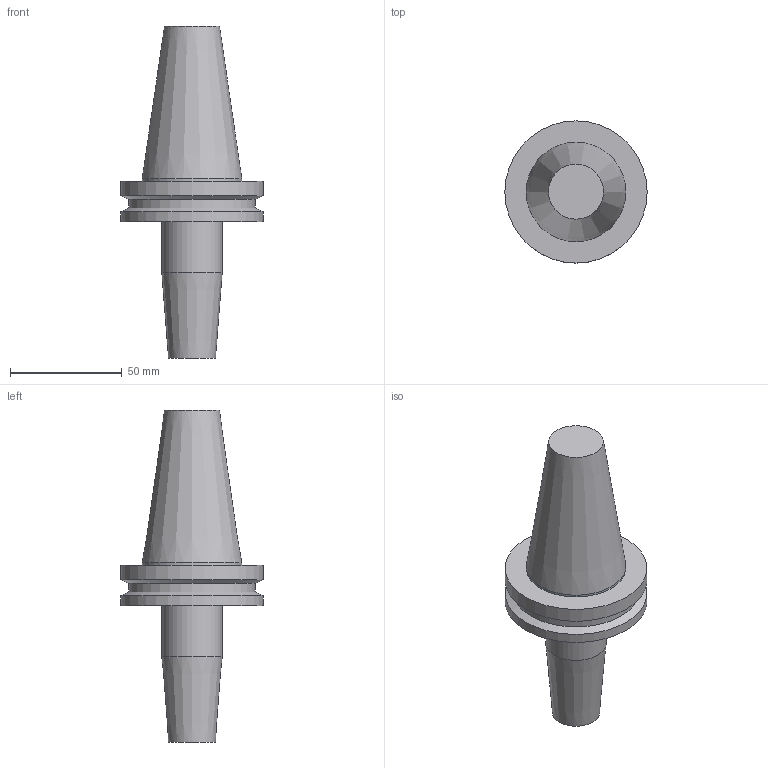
import cadquery as cq
import math


gauge_diameter = 44.45
taper_length = 68.25
taper_ratio = 7 / 24
small_end_diameter = gauge_diameter - taper_ratio * taper_length

flange_diameter = 63.5
flange_top_z = -1.0
flange_bottom_z = -19.1
groove_centre_z = -11.1
groove_mouth_width = 7.2
groove_floor_diameter = 56.6
groove_flank_angle = 25.0

nose_length = 80.0
nose_diameter = 27.0
nose_tip_diameter = 21.0
nose_taper_angle = 4.5


def revolved(points):
    """Solid of revolution about Z from (radius, z) points, closed along the axis."""
    profile = cq.Workplane("XZ").polyline(points).close()
    return profile.revolve(360, (0, 0, 0), (0, 1, 0))


def make_shank():
    """Steep taper with the short cylindrical neck that joins it to the flange."""
    return revolved([
        (0, flange_top_z),
        (gauge_diameter / 2, flange_top_z),
        (gauge_diameter / 2, 0),
        (small_end_diameter / 2, taper_length),
        (0, taper_length),
    ])


def make_flange():
    """Disc with a flat-bottomed V-groove around its rim."""
    rim_radius = flange_diameter / 2
    floor_radius = groove_floor_diameter / 2
    mouth_half = groove_mouth_width / 2
    flank_rise = (rim_radius - floor_radius) * math.tan(math.radians(groove_flank_angle))
    floor_half = mouth_half - flank_rise
    return revolved([
        (0, flange_bottom_z),
        (rim_radius, flange_bottom_z),
        (rim_radius, groove_centre_z - mouth_half),
        (floor_radius, groove_centre_z - floor_half),
        (floor_radius, groove_centre_z + floor_half),
        (rim_radius, groove_centre_z + mouth_half),
        (rim_radius, flange_top_z),
        (0, flange_top_z),
    ])


def make_nose():
    """Cylinder below the flange that ends in a slender cone."""
    cone_inset = (nose_diameter - nose_tip_diameter) / 2
    cone_length = cone_inset / math.tan(math.radians(nose_taper_angle))
    return revolved([
        (0, -nose_length),
        (nose_tip_diameter / 2, -nose_length),
        (nose_diameter / 2, cone_length - nose_length),
        (nose_diameter / 2, flange_bottom_z),
        (0, flange_bottom_z),
    ])


result = make_shank().union(make_flange()).union(make_nose())